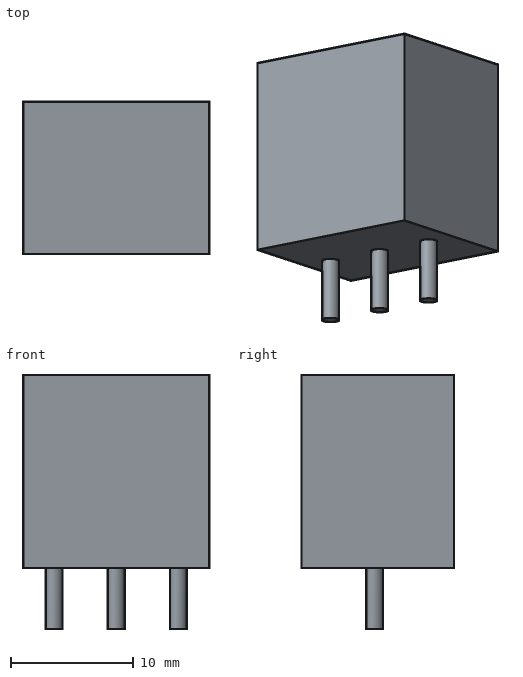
import cadquery as cq

housing_length = 15.25
housing_width = 12.5
housing_height = 15.82

pin_diameter = 1.4
pin_length = 5.0
pin_count = 3
pin_pitch = 5.08
pin_row_y = -0.25


def make_housing():
    """Plain rectangular block standing on the XY plane."""
    return cq.Workplane("XY").box(housing_length, housing_width, housing_height, centered=(True, True, False))


def make_pin(x):
    """Round pin hanging from the flat underside of the housing."""
    return cq.Workplane("XY").center(x, pin_row_y).circle(pin_diameter / 2).extrude(-pin_length)


housing = make_housing()

first_pin_x = -pin_pitch * (pin_count - 1) / 2
pins = []
for index in range(pin_count):
    pin = make_pin(first_pin_x + index * pin_pitch)
    pins.append(pin.val())

result = cq.Compound.makeCompound([housing.val(), *pins])